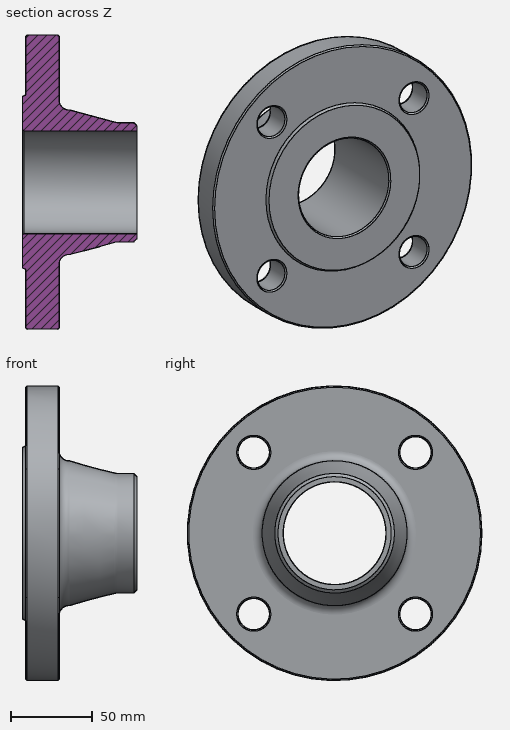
import cadquery as cq
import math

total_length = 70.0
flange_diameter = 180.0
flange_back = 22.5
face_diameter = 107.0
face_height = 2.0
face_edge_inset = 1.0
bore_diameter = 62.6
weld_end_diameter = 73.0
weld_end_length = 11.7
neck_blend_length = 1.8
hub_base_diameter = 88.5
hub_base_x = 28.8
root_diameter = 99.7
root_bulge = 1.3
bolt_circle_diameter = 139.7
bolt_hole_diameter = 19.0
bolt_hole_count = 4
edge_chamfer = 0.9
weld_bevel = 2.0
axis_start = (0, 0, 0)
axis_end = (1, 0, 0)


def revolved_body():
    """Flange disc, raised face and tapered hub revolved about X."""
    flange_radius = flange_diameter / 2
    face_radius = face_diameter / 2
    weld_radius = weld_end_diameter / 2
    hub_radius = hub_base_diameter / 2
    root_radius = root_diameter / 2
    root_mid = (
        (flange_back + hub_base_x) / 2 - root_bulge,
        (root_radius + hub_radius) / 2 - root_bulge,
    )
    weld_start = total_length - weld_end_length
    blend_start = weld_start - neck_blend_length
    corner_x = weld_start - neck_blend_length / 2
    slope = (hub_radius - weld_radius) / (corner_x - hub_base_x)
    blend_radius = weld_radius + slope * neck_blend_length / 2
    profile = (
        cq.Workplane("XY")
        .lineTo(0, face_radius - face_edge_inset)
        .lineTo(face_height, face_radius)
        .lineTo(face_height, flange_radius - edge_chamfer)
        .lineTo(face_height + edge_chamfer, flange_radius)
        .lineTo(flange_back - edge_chamfer, flange_radius)
        .lineTo(flange_back, flange_radius - edge_chamfer)
        .lineTo(flange_back, root_radius)
        .threePointArc(root_mid, (hub_base_x, hub_radius))
        .lineTo(blend_start, blend_radius)
        .tangentArcPoint((weld_start, weld_radius), relative=False)
        .lineTo(total_length - weld_bevel, weld_radius)
        .lineTo(total_length, weld_radius - weld_bevel)
        .lineTo(total_length, 0)
        .close()
    )
    return profile.revolve(360, axis_start, axis_end)


def round_cutter(diameter, start, end, chamfered_ends):
    """Cylinder along X, widened by a chamfer at each listed end."""
    radius = diameter / 2
    cutter = cq.Workplane("YZ", origin=(start, 0, 0)).circle(radius).extrude(end - start)
    for end_x, inward in chamfered_ends:
        cone = cq.Solid.makeCone(
            radius + edge_chamfer, radius, edge_chamfer,
            pnt=cq.Vector(end_x, 0, 0), dir=cq.Vector(inward, 0, 0),
        )
        cutter = cutter.union(cq.Workplane(cone))
    return cutter


bore = round_cutter(bore_diameter, 0, total_length, [(0, 1)])
bolt_hole = round_cutter(
    bolt_hole_diameter, face_height, flange_back, [(face_height, 1), (flange_back, -1)]
)

result = revolved_body().cut(bore)
for index in range(bolt_hole_count):
    angle = math.radians(360 * (index + 0.5) / bolt_hole_count)
    offset_y = bolt_circle_diameter / 2 * math.cos(angle)
    offset_z = bolt_circle_diameter / 2 * math.sin(angle)
    result = result.cut(bolt_hole.translate((0, offset_y, offset_z)))